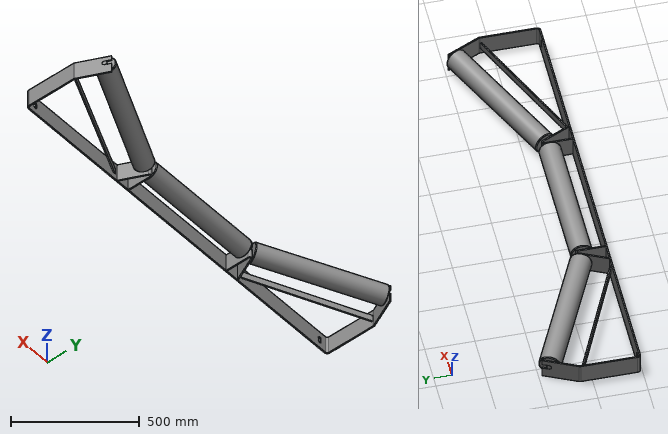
import cadquery as cq
import math

LENGTH = 1800.0
PLATE = 6.0
HEIGHT = 85.0
SIDE_HEIGHT = 243.0
FLANGE_LENGTH = 151.0
FRAME_BEND = 15.0
BRACKET_BEND = 9.9

WING_ANGLE = 25.0
PLATE_SPACING = 587.0
ROLLER_LENGTH = 570.0
ROLLER_DIAMETER = 88.0
ROLLER_CHAMFER = 4.0
SHAFT_DIAMETER = 20.0
ROLLER_TOP_Z = 97.0
AXIS_Z = ROLLER_TOP_Z - ROLLER_DIAMETER / 2
MIDDLE_AXIS_Y = 99.0
WING_AXIS_RISE = 122.0
SLOT_REACH = 54.0
SLOT_OVERRUN = 7.0

BRACE_TOP_Y = 240.0
BRACE_FOOT_X = 373.0
BRACE_WIDTH = 30.0

MOUNT_INSET = 49.0
MOUNT_WIDTH = 16.0
MOUNT_HEIGHT = 30.0

tilt = math.radians(WING_ANGLE)
along_roller = cq.Vector(math.cos(tilt), -math.sin(tilt))
along_flange = cq.Vector(math.sin(tilt), math.cos(tilt))
bar_y = PLATE / 2
side_x = LENGTH / 2 - PLATE / 2
flange_bend = cq.Vector(-side_x, SIDE_HEIGHT)
wing_centre = flange_bend + along_flange * WING_AXIS_RISE + along_roller * (PLATE_SPACING / 2)


def mirrored(body):
    """The same body on the other wing."""
    return body.mirror("YZ")


def bent_strip(points, bend_radius):
    """Upright sheet along a middle line, mitred at each corner and then rounded to a bend."""
    line = [cq.Vector(*point) for point in points]
    steps = [(b - a).normalized() for a, b in zip(line, line[1:])]
    normals = [cq.Vector(-step.y, step.x) for step in steps]
    offsets = [normals[0]]
    for before, after in zip(normals, normals[1:]):
        offsets.append((before + after) * (1 / (1 + before.dot(after))))
    offsets.append(normals[-1])
    left = [point + offset * (PLATE / 2) for point, offset in zip(line, offsets)]
    right = [point - offset * (PLATE / 2) for point, offset in zip(line, offsets)]
    outline = [(corner.x, corner.y) for corner in left + right[::-1]]
    strip = cq.Workplane("XY").polyline(outline).close().extrude(HEIGHT)
    for i in range(1, len(line) - 1):
        turns_left = steps[i - 1].cross(steps[i]).z > 0
        inner, outer = (left[i], right[i]) if turns_left else (right[i], left[i])
        for corner, radius in ((inner, bend_radius - PLATE), (outer, bend_radius)):
            edge = cq.selectors.NearestToPointSelector((corner.x, corner.y, HEIGHT / 2))
            strip = strip.edges(edge).fillet(radius)
    return strip


def on_middle_axis(body):
    return body.translate((0, MIDDLE_AXIS_Y, AXIS_Z))


def on_wing_axis(body):
    """Tilts a body made along X at the origin and moves it to the -X wing."""
    turned = body.rotate((0, 0, 0), (0, 0, 1), -WING_ANGLE)
    return turned.translate((wing_centre.x, wing_centre.y, AXIS_Z))


def bar_along_x(diameter, length):
    return cq.Workplane("YZ").workplane(offset=-length / 2).circle(diameter / 2).extrude(length)


def make_roller():
    """Roller with its fixed shaft, whose ends are flush with the outside of the plates."""
    shell = bar_along_x(ROLLER_DIAMETER, ROLLER_LENGTH).faces("<X or >X").chamfer(ROLLER_CHAMFER)
    return shell.union(bar_along_x(SHAFT_DIAMETER, PLATE_SPACING + PLATE))


def make_shaft_slots():
    """Cutter for the open-ended slots in both plates of one roller."""
    length = PLATE_SPACING + 2 * SLOT_OVERRUN
    opening = cq.Workplane("XY").box(length, SLOT_REACH, SHAFT_DIAMETER).translate((0, SLOT_REACH / 2, 0))
    return bar_along_x(SHAFT_DIAMETER, length).union(opening)


def make_frame():
    """One strip bent into the front bar, two sides and two tilted end flanges."""
    tip = flange_bend + along_flange * FLANGE_LENGTH
    half = [(tip.x, tip.y), (flange_bend.x, flange_bend.y), (-side_x, bar_y)]
    frame = bent_strip(half + [(-x, y) for x, y in half[::-1]], FRAME_BEND)
    mount_x = LENGTH / 2 - MOUNT_INSET
    mounts = (
        cq.Workplane("XZ")
        .pushPoints([(-mount_x, HEIGHT / 2), (mount_x, HEIGHT / 2)])
        .slot2D(MOUNT_HEIGHT, MOUNT_WIDTH, 90)
        .extrude(-PLATE)
    )
    wing_slots = on_wing_axis(make_shaft_slots())
    return frame.cut(mounts).cut(wing_slots).cut(mirrored(wing_slots))


def make_bracket():
    """Sheet folded over between the -X wing roller and the middle roller, standing on the bar."""
    upright_x = -PLATE_SPACING / 2
    leg = flange_bend + along_roller * PLATE_SPACING
    foot_x = leg.x - leg.y * math.tan(tilt)
    fold_y = (upright_x - foot_x) / math.tan(tilt)
    below = cq.Vector(foot_x, 0) - along_flange * PLATE
    fold = bent_strip([(below.x, below.y), (upright_x, fold_y), (upright_x, below.y)], BRACKET_BEND)
    bar_space = cq.Workplane("XY").box(LENGTH, LENGTH, 2 * HEIGHT).translate((0, PLATE - LENGTH / 2, 0))
    slots = make_shaft_slots()
    return fold.cut(bar_space).cut(on_wing_axis(slots)).cut(on_middle_axis(slots))


def make_brace():
    """Flat tie from the -X side to the front bar, trimmed to fit against both."""
    inner_x = -LENGTH / 2 + PLATE
    foot_x = -BRACE_FOOT_X
    slope = math.atan2(BRACE_TOP_Y - PLATE, foot_x - inner_x)
    outline = [
        (inner_x, BRACE_TOP_Y),
        (foot_x, PLATE),
        (foot_x - PLATE / math.sin(slope), PLATE),
        (inner_x, BRACE_TOP_Y - PLATE / math.cos(slope)),
    ]
    bottom = (HEIGHT - BRACE_WIDTH) / 2
    return cq.Workplane("XY").workplane(offset=bottom).polyline(outline).close().extrude(BRACE_WIDTH)


frame = make_frame()
bracket = make_bracket()
brace = make_brace()
middle_roller = on_middle_axis(make_roller())
wing_roller = on_wing_axis(make_roller())

bodies = [frame, middle_roller]
for wing_body in (bracket, brace, wing_roller):
    bodies += [wing_body, mirrored(wing_body)]

result = cq.Compound.makeCompound([body.val() for body in bodies])